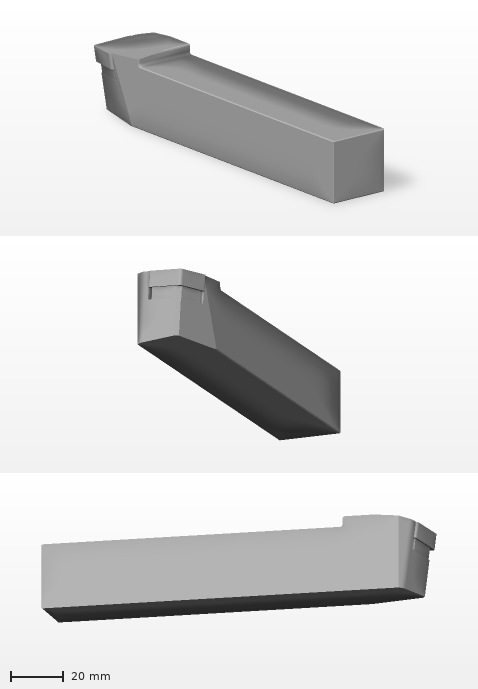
import cadquery as cq
import math

LENGTH = 149.8
SHANK = 25.0
HEAD_HEIGHT = 29.0
STEP_X = 31.3
STEP_ROUND = 0.7
STEP_FILLET = 1.2
EDGE_CHAMFER = 0.37

SLOPE = 0.098
LEAD_ANGLE = math.radians(15)
TIP = (-0.27, 3.0, 25.0)

INSERT_SIDE = 15.9
INSERT_THICKNESS = 6.3
INSERT_RADIUS = 1.2
SHIM_THICKNESS = 4.6
SHIM_END_SETBACK = 0.9
SHIM_SIDE_SETBACK = 1.2
SHIM_CHAMFER = 1.6

END_SETBACK = 0.7
SIDE_SETBACK = 1.0
NOSE_CHAMFER = 1.3
BACK_CORNER = 18.6
BACK_ANGLE = math.radians(30)
BACK_ROUND = 4.5
REACH = 224.7

seat = cq.Plane(
    origin=TIP,
    xDir=(
        math.cos(LEAD_ANGLE),
        -math.sin(LEAD_ANGLE),
        SLOPE * (math.cos(LEAD_ANGLE) - math.sin(LEAD_ANGLE)),
    ),
    normal=(-SLOPE, -SLOPE, 1),
)


def edge_near(point):
    """Selector for the edge whose centre is nearest to the point."""
    return cq.selectors.NearestToPointSelector(point)


def make_blank():
    """Shank with the raised head, before the head is cut to its tilted shape."""
    head = cq.Workplane("XY").box(STEP_X, SHANK, HEAD_HEIGHT, centered=False)
    shank = cq.Workplane("XY").box(LENGTH, SHANK, SHANK, centered=False)
    blank = head.union(shank)
    wall_foot = edge_near((STEP_X, SHANK / 2, SHANK))
    wall_top = edge_near((STEP_X, SHANK / 2, HEAD_HEIGHT))
    blank = blank.edges(wall_foot).fillet(STEP_FILLET).edges(wall_top).fillet(STEP_ROUND)
    return blank.faces("<Y or >X").edges().chamfer(EDGE_CHAMFER)


def make_head_envelope():
    """Tilted prism bounding the head: top face, side flank, end flank and back bevel."""
    back_rise = REACH - BACK_CORNER
    envelope = (
        cq.Workplane(seat)
        .moveTo(END_SETBACK, SIDE_SETBACK)
        .lineTo(REACH, SIDE_SETBACK)
        .lineTo(REACH, REACH)
        .lineTo(END_SETBACK + back_rise * math.tan(BACK_ANGLE), REACH)
        .lineTo(END_SETBACK, BACK_CORNER)
        .close()
        .extrude(-REACH)
    )
    nose_edge = seat.toWorldCoords((END_SETBACK, SIDE_SETBACK, -REACH / 2))
    back_edge = seat.toWorldCoords((END_SETBACK, BACK_CORNER, -REACH / 2))
    envelope = envelope.edges(edge_near(nose_edge.toTuple())).chamfer(NOSE_CHAMFER)
    return envelope.edges(edge_near(back_edge.toTuple())).fillet(BACK_ROUND)


def make_insert():
    return (
        cq.Workplane(seat)
        .rect(INSERT_SIDE, INSERT_SIDE, centered=False)
        .extrude(-INSERT_THICKNESS)
        .edges(cq.selectors.ParallelDirSelector(seat.zDir))
        .fillet(INSERT_RADIUS)
    )


def make_shim_pocket():
    """Square recess below the insert."""
    return (
        cq.Workplane(seat)
        .workplane(offset=-INSERT_THICKNESS)
        .rect(INSERT_SIDE, INSERT_SIDE, centered=False)
        .extrude(-SHIM_THICKNESS)
    )


def make_shim():
    """Shim block, one piece with the holder."""
    shim_length = INSERT_SIDE - SHIM_END_SETBACK
    shim_width = INSERT_SIDE - SHIM_SIDE_SETBACK
    return (
        cq.Workplane(seat)
        .workplane(offset=-INSERT_THICKNESS)
        .moveTo(SHIM_END_SETBACK, SHIM_SIDE_SETBACK)
        .rect(shim_length, shim_width, centered=False)
        .extrude(-SHIM_THICKNESS)
        .edges(cq.selectors.ParallelDirSelector(seat.zDir))
        .chamfer(SHIM_CHAMFER)
    )


insert = make_insert()
holder = make_blank().intersect(make_head_envelope())
holder = holder.cut(make_shim_pocket()).union(make_shim()).cut(insert)

result = cq.Compound.makeCompound([*holder.solids().vals(), insert.val()])